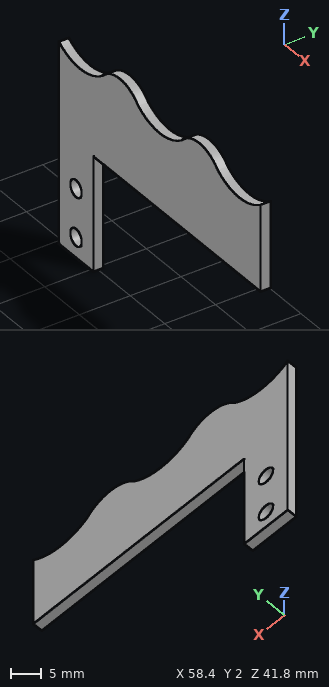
import cadquery as cq

thickness = 2.0
length = 58.38
leg_width = 10.0
arm_underside_z = 22.5

valley_count = 3
valley_pitch = 23.0
valley_width = length - (valley_count - 1) * valley_pitch
crest_width = valley_pitch - valley_width
crest_top_z = 41.82
shoulder_z = 39.45
valley_bottom_z = 37.5

hole_count = 2
hole_diameter = 3.3
lower_hole_z = 4.0
hole_spacing = 9.5


def add_scallop(outline, start_x, width, middle_z):
    """Continue the outline with one arc from shoulder to shoulder, passing middle_z halfway."""
    return outline.threePointArc((start_x + width / 2, middle_z), (start_x + width, shoulder_z))


def make_plate():
    """L-shaped plate with a scalloped top edge, spanning Y = 0 to thickness."""
    outline = cq.Workplane("XZ").moveTo(0, 0).lineTo(0, shoulder_z)
    for index in range(valley_count):
        valley_start_x = index * valley_pitch
        outline = add_scallop(outline, valley_start_x, valley_width, valley_bottom_z)
        if index < valley_count - 1:
            crest_start_x = valley_start_x + valley_width
            outline = add_scallop(outline, crest_start_x, crest_width, crest_top_z)
    outline = outline.lineTo(length, arm_underside_z)
    outline = outline.lineTo(leg_width, arm_underside_z)
    outline = outline.lineTo(leg_width, 0).close()
    return outline.extrude(-thickness)


def make_hole_cutters():
    """Cylinders for the mounting holes through the leg."""
    centres = [(leg_width / 2, lower_hole_z + index * hole_spacing) for index in range(hole_count)]
    return cq.Workplane("XZ").pushPoints(centres).circle(hole_diameter / 2).extrude(-thickness)


result = make_plate().cut(make_hole_cutters())